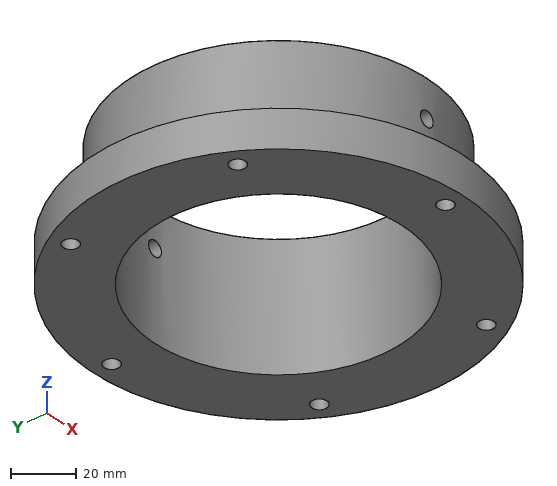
import cadquery as cq

flange_diameter = 150.0
flange_thickness = 15.0
hub_diameter = 120.0
bore_diameter = 100.0
total_height = 50.0

hole_diameter = 6.0
bolt_circle_diameter = 135.0
bolt_count = 6
first_bolt_angle = 30.0
pin_hole_height = 35.0


def flanged_ring():
    """Flange with a concentric hub, bored right through."""
    flange = cq.Workplane("XY").circle(flange_diameter / 2).extrude(flange_thickness)
    hub = cq.Workplane("XY").circle(hub_diameter / 2).extrude(total_height)
    bore = cq.Workplane("XY").circle(bore_diameter / 2).extrude(total_height)
    return flange.union(hub).cut(bore)


def bolt_holes():
    """Evenly spaced through holes in the flange, with one pair on the Y axis."""
    return (
        cq.Workplane("XY")
        .polarArray(bolt_circle_diameter / 2, first_bolt_angle, 360, bolt_count)
        .circle(hole_diameter / 2)
        .extrude(flange_thickness)
    )


def pin_hole():
    """Cross hole along Y through both hub walls."""
    return (
        cq.Workplane("XZ")
        .center(0, pin_hole_height)
        .circle(hole_diameter / 2)
        .extrude(hub_diameter / 2, both=True)
    )


result = flanged_ring().cut(bolt_holes()).cut(pin_hole())